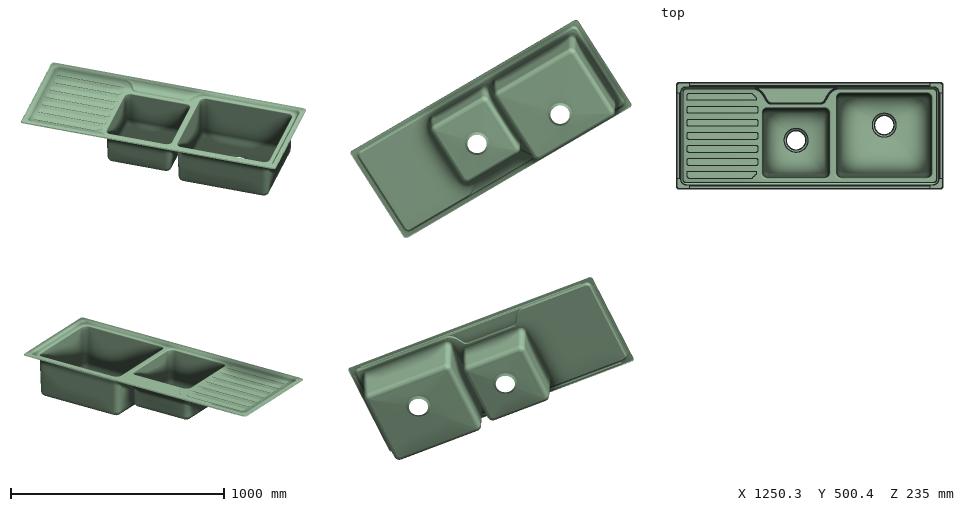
import cadquery as cq
import math

SHEET = 1.0
SLOPE = 45.0

RIM_LENGTH = 1250.33
RIM_WIDTH = 500.35
RIM_DROP = 5.0
RIM_EDGE_SLOPE = 28.0
RIM_CORNER = 14.0

RECESS_INSET = 21.0
RECESS_DEPTH = 10.0
RECESS_CORNER = 26.0
RECESS_LENGTH = RIM_LENGTH - 2 * RECESS_INSET
RECESS_WIDTH = RIM_WIDTH - 2 * RECESS_INSET

LEDGE_X = -65.0
LEDGE_RISE = 5.0
LEDGE_FRONT_Y = 149.0
LEDGE_BACK_GAP = 1.5
LEDGE_BACK_Y = RECESS_WIDTH / 2 - RECESS_DEPTH + LEDGE_BACK_GAP
LEDGE_HALF_FRONT = 130.0
LEDGE_HALF_BACK = 172.0
LEDGE_WING = 70.0
LEDGE_OVERLAP = 40.0
LEDGE_FRONT_RADIUS = 25.0
LEDGE_FLARE_RADIUS = 60.0

RIB_COUNT = 7
RIB_PITCH = 61.0
RIB_WIDTH = 32.0
RIB_RISE = 2.0
RIB_LEFT = -575.0
RIB_RIGHT = -243.0
RIB_CORNER = 8.0
END_RIB_RIGHT = -250.0
END_RIB_CHAMFER = 21.0
END_RIB_CORNER = 12.0

BOWL_DRAFT = 1.5
BOWL_CORNER = 25.0
BOWL_FLOOR_RADIUS = 22.0
LIP_RADIUS = 5.0
FLOOR_MARGIN = 1.0
DRAIN_HOLE_RADIUS = 45.0
DRAIN_SEAT_RADIUS = 56.0
DRAIN_SEAT_DROP = 6.0
FLOOR_FALL = 7.0
BIG_BOWL = dict(x=349.0, y=0.0, length=450.0, width=400.0, depth=221.0, drain_x=349.0, drain_y=50.0)
SMALL_BOWL = dict(x=-64.0, y=-35.0, length=318.0, width=330.0, depth=181.0, drain_x=-64.0, drain_y=-21.0)
BOWLS = (BIG_BOWL, SMALL_BOWL)

RAIL_INSET = 16.0
RAIL_THICKNESS = 1.5
RAIL_FLANGE_INSET = 1.8
RAIL_BOTTOM = -14.0
LONG_RAIL = 1128.0
SHORT_RAIL = 400.0


def frustum(length, width, corner, depth, taper, top=0.0):
    """Rounded rectangle extruded down from Z = top; a positive taper narrows it downwards."""
    outline = cq.Sketch().rect(length, width).vertices().fillet(corner)
    return cq.Workplane("XY").workplane(offset=top).placeSketch(outline).extrude(-depth, taper=taper)


def rim_block(offset):
    """Volume under the rim skin, moved inwards and down by the given sheet offset."""
    edge_inset = RIM_DROP * math.tan(math.radians(RIM_EDGE_SLOPE))
    miter = offset * math.tan(math.radians((90 - RIM_EDGE_SLOPE) / 2))
    length = RIM_LENGTH - 2 * (edge_inset + miter)
    width = RIM_WIDTH - 2 * (edge_inset + miter)
    corner = RIM_CORNER - edge_inset
    return frustum(length, width, corner, RIM_DROP - offset, -RIM_EDGE_SLOPE, top=-offset)


def bowl_air(bowl, offset):
    """Inside of one bowl with its sloping floor and drain seat, grown by the sheet offset."""
    length = bowl["length"] + 2 * offset
    width = bowl["width"] + 2 * offset
    top = -RECESS_DEPTH
    floor_z = -bowl["depth"] - offset
    height = top - floor_z
    fillet = BOWL_FLOOR_RADIUS + offset
    body = (
        cq.Workplane("XY", origin=(bowl["x"], bowl["y"], top))
        .rect(length, width)
        .extrude(-height, taper=BOWL_DRAFT)
    )
    body = body.edges("not #Z").fillet(BOWL_CORNER + offset)
    body = body.faces("<Z").edges().fillet(fillet)

    inset = height * math.tan(math.radians(BOWL_DRAFT)) + fillet + FLOOR_MARGIN
    return body.union(sloping_floor(bowl, length / 2 - inset, width / 2 - inset, floor_z))


def sloping_floor(bowl, half_length, half_width, floor_z):
    """Four ruled faces falling from a rectangle to the drain seat, and the conical seat."""
    corners = [
        (bowl["x"] + sx * half_length, bowl["y"] + sy * half_width)
        for sx, sy in ((1, 1), (-1, 1), (-1, -1), (1, -1))
    ]
    seat_z = floor_z - FLOOR_FALL
    rectangle = cq.Workplane("XY", origin=(0, 0, floor_z)).polyline(corners).close().wire().val()

    def on_seat(angle):
        x = bowl["drain_x"] + DRAIN_SEAT_RADIUS * math.cos(angle)
        y = bowl["drain_y"] + DRAIN_SEAT_RADIUS * math.sin(angle)
        return (x, y)

    angles = [math.atan2(y - bowl["drain_y"], x - bowl["drain_x"]) % math.tau for x, y in corners]
    ring = cq.Workplane("XY", origin=(0, 0, seat_z)).moveTo(*on_seat(angles[0]))
    for start, end in zip(angles, angles[1:] + [angles[0] + math.tau]):
        ring = ring.threePointArc(on_seat((start + end) / 2), on_seat(end))
    ring = ring.close().wire().val()
    floor = cq.Workplane(cq.Solid.makeLoft([rectangle, ring], True))

    seat_taper = math.degrees(math.atan((DRAIN_SEAT_RADIUS - DRAIN_HOLE_RADIUS) / DRAIN_SEAT_DROP))
    seat = (
        cq.Workplane("XY", origin=(bowl["drain_x"], bowl["drain_y"], seat_z))
        .circle(DRAIN_SEAT_RADIUS)
        .extrude(-DRAIN_SEAT_DROP, taper=seat_taper)
    )
    return floor.union(seat)


def box_of(x_range, y_range, z_range):
    """Selector for the features inside the given coordinate ranges."""
    low, high = zip(x_range, y_range, z_range)
    return cq.selectors.BoxSelector(low, high, boundingbox=True)


def ledge_block(offset):
    """Tap ledge standing on the deck, flaring into the back step at both ends."""
    shrink = offset * math.tan(math.radians(SLOPE / 2))
    back = LEDGE_BACK_Y + shrink
    front = LEDGE_FRONT_Y + shrink
    half_front = LEDGE_HALF_FRONT - shrink
    half_back = LEDGE_HALF_BACK - shrink
    half_wing = LEDGE_HALF_BACK + LEDGE_WING
    rear = LEDGE_BACK_Y + LEDGE_OVERLAP
    right_half = [(half_wing, rear), (half_wing, back), (half_back, back), (half_front, front)]
    left_half = [(-x, y) for x, y in reversed(right_half)]
    outline = cq.Sketch().polygon(right_half + left_half + right_half[:1])
    outline = outline.vertices("<Y").fillet(LEDGE_FRONT_RADIUS).reset()
    flare_corners = box_of(
        (-half_back - SHEET, half_back + SHEET), (back - SHEET, back + SHEET), (-SHEET, SHEET)
    )
    outline = outline.vertices(flare_corners).fillet(LEDGE_FLARE_RADIUS).reset()
    plane = cq.Workplane("XY", origin=(LEDGE_X, 0, -RECESS_DEPTH - offset))
    return plane.placeSketch(outline).extrude(LEDGE_RISE, taper=SLOPE)


def pressed_air(offset):
    """Space enclosed by the recess around the tap ledge and by the bowls, grown by the sheet offset."""
    deck_z = -RECESS_DEPTH - offset
    grow = 2 * offset / math.cos(math.radians(SLOPE))
    length = RECESS_LENGTH + grow
    width = RECESS_WIDTH + grow
    air = frustum(length, width, RECESS_CORNER, RECESS_DEPTH + offset, SLOPE)
    air = air.cut(ledge_block(offset))
    for bowl in BOWLS:
        air = air.union(bowl_air(bowl, offset))
        half_length = bowl["length"] / 2 + 2 * SHEET
        half_width = bowl["width"] / 2 + 2 * SHEET
        mouth = box_of(
            (bowl["x"] - half_length, bowl["x"] + half_length),
            (bowl["y"] - half_width, bowl["y"] + half_width),
            (deck_z - SHEET / 2, deck_z + SHEET / 2),
        )
        air = air.edges(mouth).fillet(LIP_RADIUS - offset)
    return air


def ribs():
    """Drainer ribs on the deck; the first and last have one corner cut off."""
    pads = []
    last = RIB_COUNT // 2
    for row in range(-last, last + 1):
        is_end = abs(row) == last
        right = END_RIB_RIGHT if is_end else RIB_RIGHT
        pad = (
            cq.Workplane("XY", origin=((RIB_LEFT + right) / 2, row * RIB_PITCH, -RECESS_DEPTH))
            .rect(right - RIB_LEFT, RIB_WIDTH)
            .extrude(RIB_RISE)
        )
        if is_end:
            side = ">Y" if row > 0 else "<Y"
            pad = pad.edges("|Z and >X").edges(side).chamfer(END_RIB_CHAMFER)
            pad = pad.edges("|Z and <X").edges(side).fillet(END_RIB_CORNER)
        else:
            pad = pad.edges("|Z").fillet(RIB_CORNER)
        pads.append(pad)
    return pads


def rail(side_size, length):
    """Angle rail under one rim side: a flange against the rim and a leg pointing down."""
    outer = side_size / 2 - RAIL_FLANGE_INSET
    leg = side_size / 2 - RAIL_INSET
    profile = [
        (outer, -SHEET),
        (outer, -SHEET - RAIL_THICKNESS),
        (leg + RAIL_THICKNESS / 2, -SHEET - RAIL_THICKNESS),
        (leg + RAIL_THICKNESS / 2, RAIL_BOTTOM),
        (leg - RAIL_THICKNESS / 2, RAIL_BOTTOM),
        (leg - RAIL_THICKNESS / 2, -SHEET),
    ]
    return cq.Workplane("XZ").polyline(profile).close().extrude(length / 2, both=True)


def build_sink():
    """Pressed sheet as the space between its two skins, with ribs, drain holes and rails."""
    body = rim_block(0).cut(rim_block(SHEET))
    body = body.union(pressed_air(SHEET)).cut(pressed_air(0))
    for pad in ribs():
        body = body.union(pad)
    for bowl in BOWLS:
        drain = cq.Workplane("XY", origin=(bowl["drain_x"], bowl["drain_y"], -RECESS_DEPTH))
        body = body.cut(drain.circle(DRAIN_HOLE_RADIUS).extrude(-2 * bowl["depth"]))
    for turn in (0, 180):
        body = body.union(rail(RIM_LENGTH, SHORT_RAIL).rotate((0, 0, 0), (0, 0, 1), turn))
        body = body.union(rail(RIM_WIDTH, LONG_RAIL).rotate((0, 0, 0), (0, 0, 1), turn + 90))
    return body


result = build_sink()